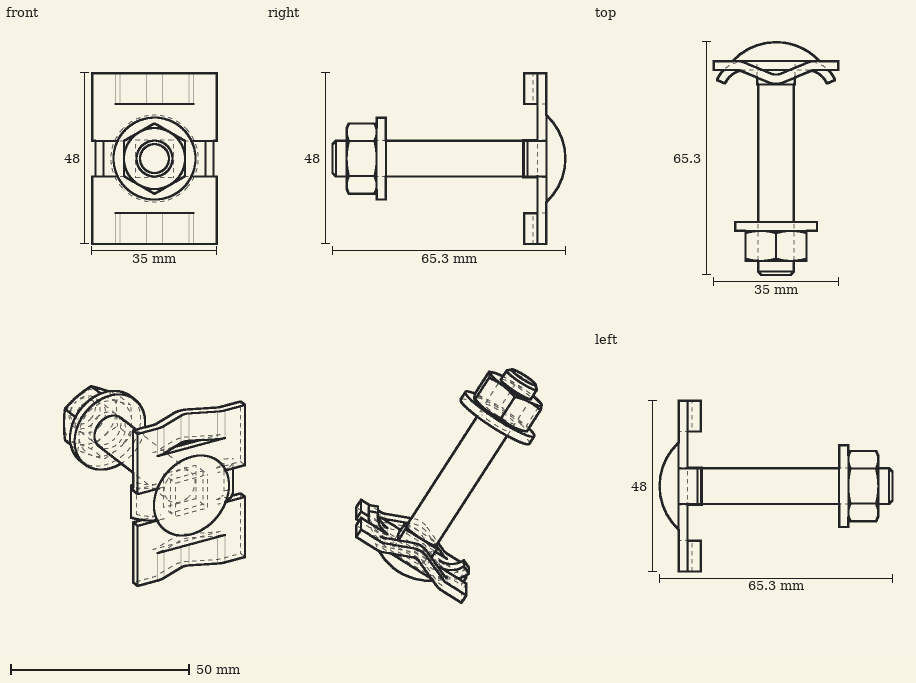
import cadquery as cq
import math


plate_width = 35.0
plate_height = 48.0
sheet = 2.55

tab_height = 8.7
tab_half_width = 11.0
tab_angle = 22.5
tab_inner_radius = 3.3
tab_outer_radius = tab_inner_radius + sheet

ear_height = 10.0
ear_start = 8.6
ear_angle = 67.5
ear_inner_radius = 6.1
ear_outer_radius = ear_inner_radius + sheet

bolt_radius = 5.05
bolt_tip = 60.0
bolt_chamfer = 1.0
neck_width = 10.5
neck_depth = 6.55
head_radius = 12.2
head_height = 5.35

washer_back = 45.05
washer_thickness = 2.55
washer_radius = 11.5
nut_across_flats = 17.1
nut_height = 8.45
nut_chamfer_angle = 25.0
nut_back = washer_back + washer_thickness


def on_arc(center, radius, angle):
    """Point on an arc, with the angle in degrees measured from +Y toward +X."""
    turn = math.radians(angle)
    return (center[0] + radius * math.sin(turn), center[1] + radius * math.cos(turn))


def mirrored(point):
    """Point reflected across the plane x = 0."""
    return (-point[0], point[1])


def prism_along_z(outline, height):
    """Extrude an XY outline symmetrically about z = 0."""
    return outline.close().extrude(height / 2, both=True)


def make_tab():
    """V-shaped strip of constant sheet thickness, centred on z = 0."""
    slope = math.radians(tab_angle)
    bend_run = (tab_inner_radius + tab_outer_radius) * math.sin(slope)
    bend_drop = (tab_inner_radius + tab_outer_radius) * (1 - math.cos(slope))
    depth = bend_drop + (tab_half_width - bend_run) * math.tan(slope)
    side_center = (tab_half_width, -sheet - tab_inner_radius)
    apex_center = (0, tab_outer_radius - sheet - depth)
    half_angle = tab_angle / 2

    def side(radius, angle):
        return on_arc(side_center, radius, -angle)

    def apex(radius, angle):
        return on_arc(apex_center, radius, 180 - angle)

    inner, outer = tab_inner_radius, tab_outer_radius
    outline = (
        cq.Workplane("XY")
        .moveTo(tab_half_width, 0)
        .threePointArc(side(outer, half_angle), side(outer, tab_angle))
        .lineTo(*apex(inner, tab_angle))
        .threePointArc(apex(inner, 0), mirrored(apex(inner, tab_angle)))
        .lineTo(*mirrored(side(outer, tab_angle)))
        .threePointArc(mirrored(side(outer, half_angle)), (-tab_half_width, 0))
        .lineTo(-tab_half_width, -sheet)
        .threePointArc(mirrored(side(inner, half_angle)), mirrored(side(inner, tab_angle)))
        .lineTo(*mirrored(apex(outer, tab_angle)))
        .threePointArc(apex(outer, 0), apex(outer, tab_angle))
        .lineTo(*side(inner, tab_angle))
        .threePointArc(side(inner, half_angle), (tab_half_width, -sheet))
    )
    return prism_along_z(outline, tab_height)


def make_ear():
    """Ear on the +X side, curling forward from the plate."""
    center = (ear_start, -sheet - ear_inner_radius)
    outline = (
        cq.Workplane("XY")
        .moveTo(ear_start, 0)
        .threePointArc(
            on_arc(center, ear_outer_radius, ear_angle / 2),
            on_arc(center, ear_outer_radius, ear_angle),
        )
        .lineTo(*on_arc(center, ear_inner_radius, ear_angle))
        .threePointArc(on_arc(center, ear_inner_radius, ear_angle / 2), (ear_start, -sheet))
    )
    return prism_along_z(outline, ear_height)


def block(width, depth, height):
    """Box centred on the bolt axis that reaches forward from y = 0."""
    return cq.Workplane("XY").box(width, depth, height).translate((0, -depth / 2, 0))


def make_clamp_plate():
    """Flat plate with two V tabs, two curled ears and a square hole for the bolt neck."""
    plate = block(plate_width, sheet, plate_height)
    tab = make_tab()
    tab_window = block(2 * tab_half_width, sheet, tab_height)
    ear = make_ear()
    ear_notch_width = plate_width / 2 - ear_start
    ear_notch = block(ear_notch_width, sheet, ear_height)
    notch_x = ear_start + ear_notch_width / 2
    tab_z = (plate_height - tab_height) / 2
    for sign in (-1, 1):
        plate = plate.cut(tab_window.translate((0, 0, sign * tab_z)))
        plate = plate.union(tab.translate((0, 0, sign * tab_z)))
        plate = plate.cut(ear_notch.translate((sign * notch_x, 0, 0)))
    plate = plate.union(ear).union(ear.mirror("YZ"))
    return plate.cut(block(neck_width, sheet, neck_width))


def cylinder(radius, back, length):
    """Cylinder on the bolt axis, reaching forward from a distance in front of the plate back."""
    return cq.Workplane("XZ", origin=(0, -back, 0)).circle(radius).extrude(length)


def make_bolt():
    """Carriage bolt with a domed head, a square neck and a chamfered tip."""
    dome_radius = (head_radius**2 + head_height**2) / (2 * head_height)
    dome_center = (0, head_height - dome_radius)
    half_angle = math.degrees(math.asin(head_radius / dome_radius)) / 2
    head = (
        cq.Workplane("XY")
        .lineTo(head_radius, 0)
        .threePointArc(on_arc(dome_center, dome_radius, half_angle), (0, head_height))
        .close()
        .revolve(360, (0, 0), (0, 1))
    )
    shank = cylinder(bolt_radius, 0, bolt_tip).faces("<Y").chamfer(bolt_chamfer)
    return head.union(block(neck_width, neck_depth, neck_width)).union(shank)


def make_washer():
    """Flat ring that fits the bolt shank."""
    washer = cylinder(washer_radius, washer_back, washer_thickness)
    return washer.cut(cylinder(bolt_radius, washer_back, washer_thickness))


def make_nut():
    """Hexagon nut with points up and down, its corners bevelled at both ends."""
    corner_radius = nut_across_flats / math.sqrt(3)
    face_radius = nut_across_flats / 2
    bevel_drop = (corner_radius - face_radius) * math.tan(math.radians(nut_chamfer_angle))
    front = nut_back + nut_height
    hexagon = (
        cq.Workplane("XZ", origin=(0, -nut_back, 0))
        .polygon(6, 2 * corner_radius)
        .extrude(nut_height)
        .rotate((0, 0, 0), (0, 1, 0), 90)
    )
    bevel_envelope = (
        cq.Workplane("XY")
        .moveTo(0, -nut_back)
        .lineTo(face_radius, -nut_back)
        .lineTo(corner_radius, -nut_back - bevel_drop)
        .lineTo(corner_radius, -front + bevel_drop)
        .lineTo(face_radius, -front)
        .lineTo(0, -front)
        .close()
        .revolve(360, (0, 0), (0, 1))
    )
    return hexagon.intersect(bevel_envelope).cut(cylinder(bolt_radius, nut_back, nut_height))


clamp_plate = make_clamp_plate()
bolt = make_bolt()
washer = make_washer()
nut = make_nut()

bodies = [clamp_plate, bolt, washer, nut]
result = cq.Compound.makeCompound([body.solids().val() for body in bodies])